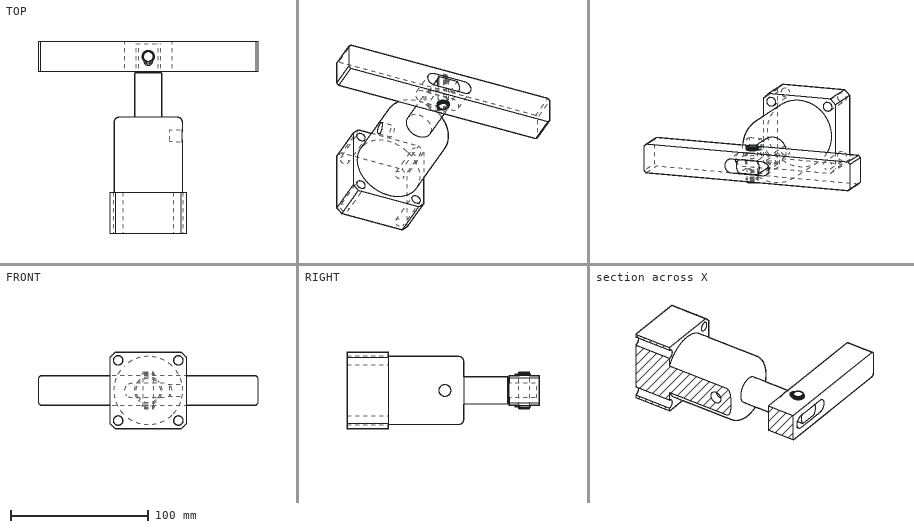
import cadquery as cq

FLANGE_SIDE = 56.0
FLANGE_DEPTH = 30.0
FLANGE_CHAMFER = 4.0
BOLT_SPACING = 43.8
BOLT_HOLE_DIAMETER = 6.7
BARREL_DIAMETER = 50.0
BARREL_FILLET = 4.0
HOUSING_LENGTH = 85.0
PORT_DIAMETER = 8.6
PORT_DEPTH = 9.6
PORT_Y = 71.2

ARM_LENGTH = 160.0
ARM_DEPTH = 22.0
ARM_HEIGHT = 21.6
ARM_CHAMFER = 1.6
ARM_BACK_Y = 140.0
ARM_FRONT_Y = ARM_BACK_Y - ARM_DEPTH
SLOT_LENGTH = 34.4
SLOT_HEIGHT = 10.5

ROD_DIAMETER = 20.0
ROD_CHAMFER_LENGTH = 0.5
ROD_CHAMFER_DEPTH = 1.1
SHOULDER_GAP = 0.5
SHOULDER_Y = ARM_FRONT_Y - SHOULDER_GAP
TONGUE_DIAMETER = ROD_DIAMETER - 2 * ROD_CHAMFER_DEPTH
TONGUE_END_MARGIN = 2.0
TONGUE_END_Y = ARM_BACK_Y - TONGUE_END_MARGIN

PIN_Y = ARM_BACK_Y - ARM_DEPTH / 2
PIN_DIAMETER = 8.0
PIN_LENGTH = 27.0
PIN_CHAMFER = 0.5
GROOVE_DIAMETER = 7.5
GROOVE_WIDTH = 2.0

CLIP_THICKNESS = 1.0
CLIP_GAP = 0.3
CLIP_DIAMETER = 9.0
LUG_OFFSET = 3.5
LUG_RADIUS = 3.0
LUG_OPENING_RADIUS = 2.0


def y_cylinder(diameter, start_y, end_y):
    """Cylinder on the Y axis between two Y positions."""
    return (
        cq.Workplane("XZ", origin=(0, start_y, 0))
        .circle(diameter / 2)
        .extrude(start_y - end_y)
    )


def z_cylinder(radius, y, bottom_z, height):
    """Upright cylinder at the given Y position."""
    return cq.Workplane("XY", origin=(0, y, bottom_z)).circle(radius).extrude(height)


def make_housing():
    flange = (
        cq.Workplane("XZ")
        .rect(FLANGE_SIDE, FLANGE_SIDE)
        .extrude(-FLANGE_DEPTH)
        .edges("|Y")
        .chamfer(FLANGE_CHAMFER)
    )
    barrel = y_cylinder(BARREL_DIAMETER, FLANGE_DEPTH, HOUSING_LENGTH)
    barrel = barrel.faces(">Y").edges().fillet(BARREL_FILLET)
    bolt_holes = (
        cq.Workplane("XZ")
        .rect(BOLT_SPACING, BOLT_SPACING, forConstruction=True)
        .vertices()
        .circle(BOLT_HOLE_DIAMETER / 2)
        .extrude(-FLANGE_DEPTH)
    )
    port = (
        cq.Workplane("YZ", origin=(BARREL_DIAMETER / 2, PORT_Y, 0))
        .circle(PORT_DIAMETER / 2)
        .extrude(-PORT_DEPTH)
    )
    return flange.union(barrel).cut(bolt_holes).cut(port)


def make_pin_bore():
    return z_cylinder(PIN_DIAMETER / 2, PIN_Y, -PIN_LENGTH / 2, PIN_LENGTH)


def make_arm():
    bar = (
        cq.Workplane("XZ", origin=(0, ARM_FRONT_Y, 0))
        .rect(ARM_LENGTH, ARM_HEIGHT)
        .extrude(-ARM_DEPTH)
        .edges("|Y")
        .chamfer(ARM_CHAMFER)
    )
    slot = (
        cq.Workplane("XZ", origin=(0, ARM_FRONT_Y, 0))
        .slot2D(SLOT_LENGTH, SLOT_HEIGHT)
        .extrude(-ARM_DEPTH)
    )
    return bar.cut(slot).cut(make_pin_bore())


def make_rod():
    shank = y_cylinder(ROD_DIAMETER, HOUSING_LENGTH, SHOULDER_Y)
    shank = shank.faces(">Y").edges().chamfer(ROD_CHAMFER_LENGTH, ROD_CHAMFER_DEPTH)
    flats = (
        cq.Workplane("XZ", origin=(0, SHOULDER_Y, 0))
        .rect(ROD_DIAMETER, SLOT_HEIGHT)
        .extrude(SHOULDER_Y - TONGUE_END_Y)
    )
    tongue = y_cylinder(TONGUE_DIAMETER, SHOULDER_Y, TONGUE_END_Y).intersect(flats)
    return shank.union(tongue).cut(make_pin_bore())


def make_pin():
    pin = make_pin_bore().faces("<Z or >Z").edges().chamfer(PIN_CHAMFER)
    for bottom_z in (ARM_HEIGHT / 2, -ARM_HEIGHT / 2 - GROOVE_WIDTH):
        groove = z_cylinder(PIN_DIAMETER / 2, PIN_Y, bottom_z, GROOVE_WIDTH).cut(
            z_cylinder(GROOVE_DIAMETER / 2, PIN_Y, bottom_z, GROOVE_WIDTH)
        )
        pin = pin.cut(groove)
    return pin


def make_clip(bottom_z):
    """Ring around the pin groove with an open lug on the rod side."""
    lug_y = PIN_Y - LUG_OFFSET
    ring = z_cylinder(CLIP_DIAMETER / 2, PIN_Y, bottom_z, CLIP_THICKNESS)
    lug = z_cylinder(LUG_RADIUS, lug_y, bottom_z, CLIP_THICKNESS)
    bore = z_cylinder(GROOVE_DIAMETER / 2, PIN_Y, bottom_z, CLIP_THICKNESS)
    opening = z_cylinder(LUG_OPENING_RADIUS, lug_y, bottom_z, CLIP_THICKNESS)
    return ring.union(lug).cut(bore).cut(opening)


housing = make_housing()
rod = make_rod()
arm = make_arm()
pin = make_pin()
clips = [
    make_clip(bottom_z)
    for bottom_z in (ARM_HEIGHT / 2 + CLIP_GAP, -ARM_HEIGHT / 2 - CLIP_GAP - CLIP_THICKNESS)
]

result = cq.Compound.makeCompound(
    [housing.val(), rod.val(), arm.val(), pin.val(), *[clip.val() for clip in clips]]
)